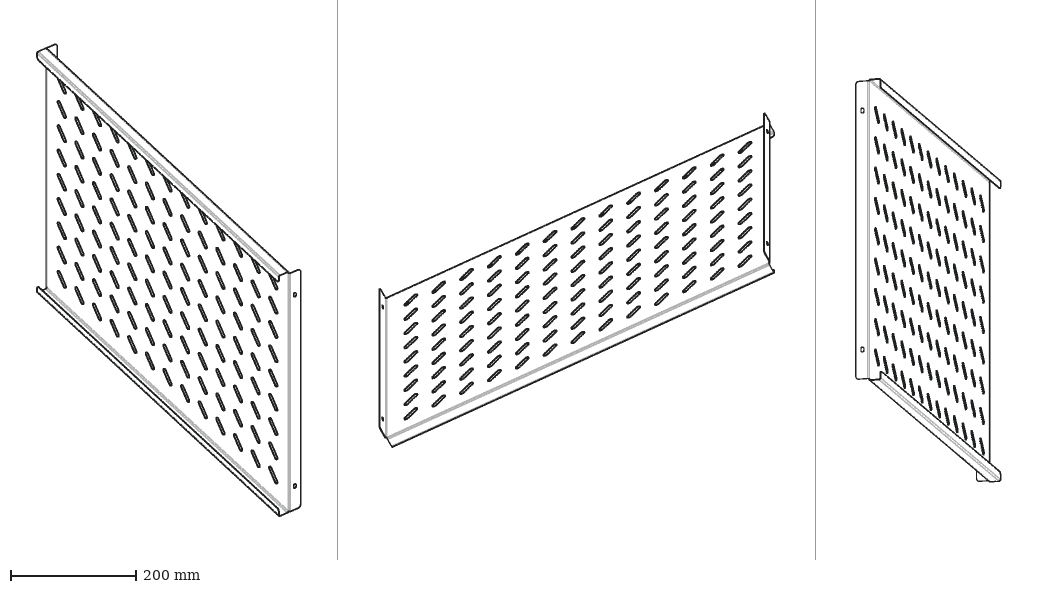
import cadquery as cq

width = 692.0
depth = 41.0
height = 497.0
sheet = 1.5
inner_bend = 1.5
outer_bend = inner_bend + sheet

channel_depth = 20.0
flange_depth = depth + sheet - channel_depth
lip_height = 15.0
corner_radius = 5.0

channel_length = width - 2 * outer_bend
flange_length = height - 2 * outer_bend

slot_columns = 13
slot_rows = 9
slot_pitch = 50.0
slot_length = 30.5
slot_width = 8.5
slot_angle = -45.0

fixing_width = 5.0
fixing_height = 8.0
fixing_spacing = 394.0
fixing_from_back = 11.0

web_back = sheet
channel_front = web_back - channel_depth
flange_back = flange_depth


def make_web():
    """Flat plate between the four bends."""
    return cq.Workplane("XY", origin=(0, sheet / 2, 0)).box(channel_length, sheet, flange_length)


def make_top_channel():
    """Top flange with its return lip, bent forward from the top edge of the web."""
    top = height / 2
    bend_start = top - outer_bend
    lip_bottom = top - lip_height
    profile = (
        cq.Workplane("YZ", origin=(-channel_length / 2, 0, 0))
        .moveTo(web_back, bend_start)
        .radiusArc((web_back - outer_bend, top), -outer_bend)
        .lineTo(channel_front + outer_bend, top)
        .radiusArc((channel_front, bend_start), -outer_bend)
        .lineTo(channel_front, lip_bottom)
        .lineTo(channel_front + sheet, lip_bottom)
        .lineTo(channel_front + sheet, bend_start)
        .radiusArc((channel_front + outer_bend, top - sheet), inner_bend)
        .lineTo(web_back - outer_bend, top - sheet)
        .radiusArc((0, bend_start), inner_bend)
        .close()
    )
    channel = profile.extrude(channel_length)
    lip_corners = cq.selectors.BoxSelector(
        (-width, channel_front - sheet, lip_bottom - sheet),
        (width, channel_front + 2 * sheet, lip_bottom + sheet),
    )
    return channel.edges("|Y").edges(lip_corners).fillet(corner_radius)


def make_right_flange():
    """Side flange bent backward from the +X edge of the web."""
    side = width / 2
    bend_start = side - outer_bend
    profile = (
        cq.Workplane("XY", origin=(0, 0, -flange_length / 2))
        .moveTo(bend_start, 0)
        .radiusArc((side, outer_bend), -outer_bend)
        .lineTo(side, flange_back)
        .lineTo(side - sheet, flange_back)
        .lineTo(side - sheet, outer_bend)
        .radiusArc((bend_start, sheet), inner_bend)
        .close()
    )
    flange = profile.extrude(flange_length)
    return flange.edges("|X").edges(">Y").fillet(corner_radius)


def make_web_slots():
    """Grid of diagonal slot-shaped bars that pierce the web."""
    return (
        cq.Workplane("XZ", origin=(0, web_back + sheet, 0))
        .rarray(slot_pitch, slot_pitch, slot_columns, slot_rows)
        .slot2D(slot_length, slot_width, slot_angle)
        .extrude(3 * sheet)
    )


def make_fixing_slots():
    """Upright slot-shaped bars across the full width that pierce both side flanges."""
    return (
        cq.Workplane("YZ", origin=(0, flange_back - fixing_from_back, 0))
        .rarray(1, fixing_spacing, 1, 2)
        .slot2D(fixing_height, fixing_width, 90)
        .extrude(width, both=True)
    )


top_channel = make_top_channel()
right_flange = make_right_flange()
panel = (
    make_web()
    .union(top_channel)
    .union(top_channel.mirror("XY"))
    .union(right_flange)
    .union(right_flange.mirror("YZ"))
)
result = panel.cut(make_web_slots()).cut(make_fixing_slots())